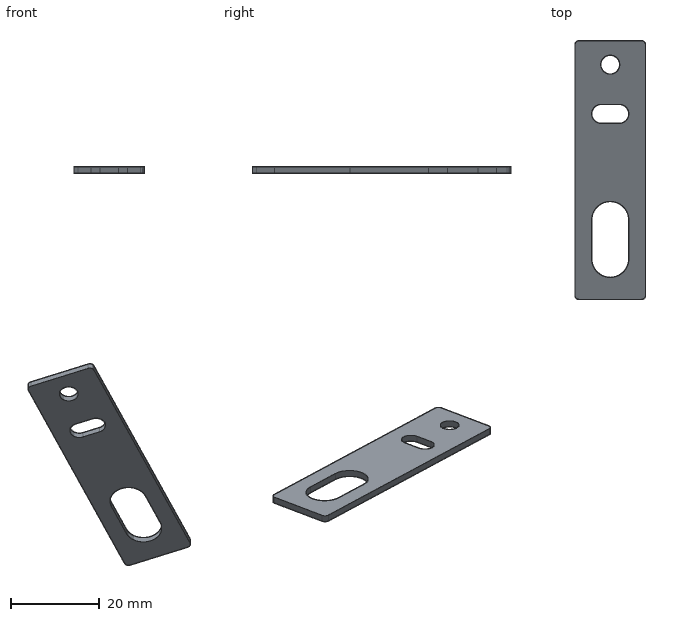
import cadquery as cq

width = 16.0
length = 58.5
thickness = 1.5
corner_radius = 1.0

hole_diameter = 4.2
hole_y = 23.8
cross_slot_length = 8.3
cross_slot_y = 12.7
long_slot_width = cross_slot_length
long_slot_length = 17.1
long_slot_y = -15.7

plate = (
    cq.Workplane("XY")
    .box(width, length, thickness)
    .edges("|Z")
    .fillet(corner_radius)
)


def cut_slot(body, y, slot_length, slot_width, angle):
    """Cut a round-ended through slot; angle is measured from the X axis."""
    return (
        body.faces(">Z")
        .workplane(origin=(0, 0, 0))
        .center(0, y)
        .slot2D(slot_length, slot_width, angle)
        .cutThruAll()
    )


result = (
    plate.faces(">Z")
    .workplane(origin=(0, 0, 0))
    .center(0, hole_y)
    .hole(hole_diameter)
)

result = cut_slot(result, cross_slot_y, cross_slot_length, hole_diameter, 0)

result = cut_slot(result, long_slot_y, long_slot_length, long_slot_width, 90)